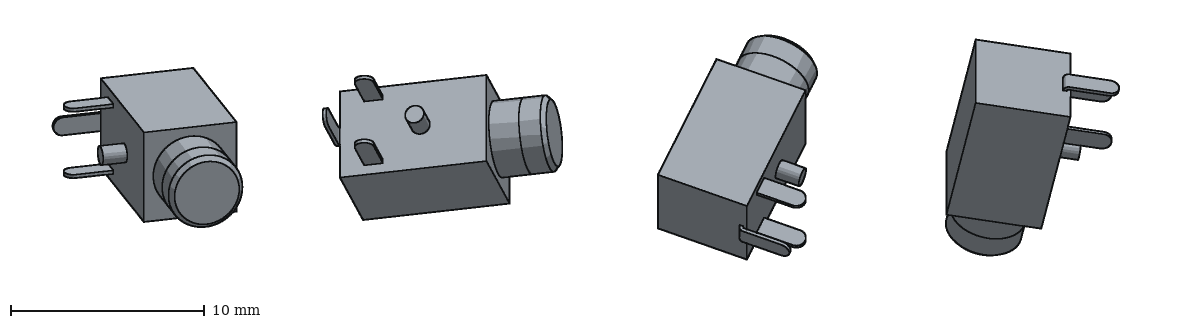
import cadquery as cq
import math


overall_length = 11.1
block_width = 5.0
barrel_length = 3.0
barrel_radius = 2.0
barrel_base_length = 1.6
collar_chamfer = 0.25

terminal_thickness = 0.2
terminal_width = 1.0
terminal_reach = 2.51
side_terminal_x = 1.8
side_terminal_spacing = 3.7

rear_bend_radius = 0.3
rear_bend_top = 0.4

peg_radius = 0.5
peg_length = 1.3
peg_x = 4.3

block_length = overall_length - barrel_length - rear_bend_radius
mounting_face_y = -block_width / 2
terminal_tip_y = mounting_face_y - terminal_reach
tip_radius = terminal_width / 2
tip_center_y = terminal_tip_y + tip_radius
collar_length = barrel_length - barrel_base_length


def make_block():
    return cq.Workplane("XY").box(block_length, block_width, block_width, centered=(False, True, True))


def make_barrel_base():
    return cq.Workplane("YZ", origin=(block_length, 0, 0)).circle(barrel_radius).extrude(barrel_base_length)


def make_peg():
    """Round locating peg standing on the mounting face."""
    return cq.Workplane("XZ", origin=(peg_x, mounting_face_y, 0)).circle(peg_radius).extrude(peg_length)


def make_side_terminal(center_z):
    """Flat blade with a rounded tip, centered on the given height."""
    left = side_terminal_x - tip_radius
    right = side_terminal_x + tip_radius
    return (
        cq.Workplane("XY", origin=(0, 0, center_z - terminal_thickness / 2))
        .moveTo(left, mounting_face_y)
        .lineTo(left, tip_center_y)
        .threePointArc((side_terminal_x, terminal_tip_y), (right, tip_center_y))
        .lineTo(right, mounting_face_y)
        .close()
        .extrude(terminal_thickness)
    )


def make_rear_terminal():
    """Blade that leaves the rear face, bends a quarter turn and ends in a rounded tip."""
    outer = rear_bend_radius
    inner = outer - terminal_thickness
    bend_center_y = mounting_face_y + rear_bend_top - outer
    diagonal = math.sqrt(0.5)
    strip = (
        cq.Workplane("XY", origin=(0, 0, -terminal_width / 2))
        .moveTo(0, bend_center_y + outer)
        .threePointArc((-outer * diagonal, bend_center_y + outer * diagonal), (-outer, bend_center_y))
        .lineTo(-outer, terminal_tip_y)
        .lineTo(-inner, terminal_tip_y)
        .lineTo(-inner, bend_center_y)
        .threePointArc((-inner * diagonal, bend_center_y + inner * diagonal), (0, bend_center_y + inner))
        .close()
        .extrude(terminal_width)
    )
    rounded_face = (
        cq.Workplane("YZ", origin=(-outer, 0, 0))
        .moveTo(bend_center_y + outer, tip_radius)
        .lineTo(tip_center_y, tip_radius)
        .threePointArc((terminal_tip_y, 0), (tip_center_y, -tip_radius))
        .lineTo(bend_center_y + outer, -tip_radius)
        .close()
        .extrude(outer)
    )
    return strip.intersect(rounded_face)


def make_housing():
    """Block, barrel base, peg and the three terminals as one solid."""
    housing = make_block().union(make_barrel_base()).union(make_peg()).union(make_rear_terminal())
    for side in (-1, 1):
        housing = housing.union(make_side_terminal(side * side_terminal_spacing / 2))
    return housing


def make_collar():
    """Chamfered end of the barrel."""
    return (
        cq.Workplane("YZ", origin=(block_length + barrel_base_length, 0, 0))
        .circle(barrel_radius)
        .extrude(collar_length)
        .faces(">X")
        .chamfer(collar_chamfer)
    )


housing = make_housing()
collar = make_collar()
result = cq.Compound.makeCompound([housing.solids().val(), collar.solids().val()])